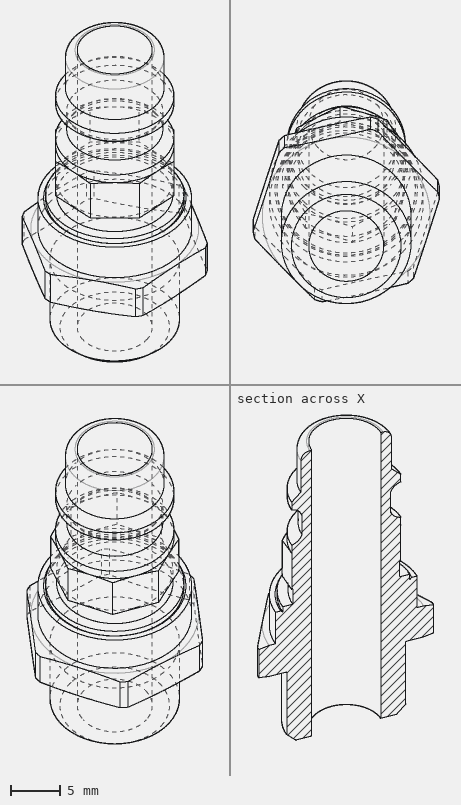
import cadquery as cq
import math

total_height = 36.5
hex_bottom = 8.98
hex_top = 13.0
body_top = 17.0
ring_top = 17.5
octagon_bottom = 19.38
octagon_top = 24.0
lower_collar_top = 25.05
neck_bottom = 26.05
neck_top = 28.47
collar_bottom = 29.5
collar_top = 30.5
nose_bottom = 31.5

bore_diameter = 7.6
neck_diameter = 9.75
nose_diameter = 10.0
stem_diameter = 11.8
collar_diameter = 12.0
thread_diameter = 13.15
ring_diameter = 14.0
body_diameter = 15.6
octagon_flats = 12.0
hex_flats = 17.0
hex_corner_diameter = 19.2

nose_round = 1.0
thread_chamfer = 1.02
flank_arc_radius = 1.5
hex_bevel_angle = 9.5
octagon_bevel_angle = 15.0
groove_outer_diameter = 14.4
groove_depth = 0.2


def cylinder(diameter, bottom, top):
    return cq.Workplane("XY").workplane(offset=bottom).circle(diameter / 2).extrude(top - bottom)


def prism(side_count, flats, bottom, top):
    """Regular prism with two of its flats facing +X and -X."""
    corner_diameter = flats / math.cos(math.pi / side_count)
    return (
        cq.Workplane("XY")
        .workplane(offset=bottom)
        .polygon(side_count, corner_diameter)
        .extrude(top - bottom)
        .rotate((0, 0, 0), (0, 0, 1), 180 / side_count)
    )


def bevel_envelope(flats, outer_diameter, bevel_angle, bottom, top, bevel_bottom):
    """Turned blank whose shallow cones trim the corners of a prism."""
    inner = flats / 2
    outer = outer_diameter / 2
    drop = (outer - inner) * math.tan(math.radians(bevel_angle))
    profile = cq.Workplane("XZ").moveTo(0, bottom)
    if bevel_bottom:
        profile = profile.lineTo(inner, bottom).lineTo(outer, bottom + drop)
    else:
        profile = profile.lineTo(outer, bottom)
    profile = profile.lineTo(outer, top - drop).lineTo(inner, top).lineTo(0, top)
    return profile.close().revolve(360, (0, 0, 0), (0, 1, 0))


def make_thread_end():
    end = cylinder(thread_diameter, 0, hex_bottom)
    return end.faces("<Z").chamfer(thread_chamfer)


def make_hexagon():
    blank = bevel_envelope(hex_flats, hex_corner_diameter, hex_bevel_angle, hex_bottom, hex_top, True)
    return prism(6, hex_flats, hex_bottom, hex_top).intersect(blank)


def make_body():
    """Round body whose top face is countersunk around a raised ring."""
    body = cylinder(body_diameter, hex_top, body_top)
    groove = (
        cq.Workplane("XZ")
        .moveTo(ring_diameter / 2, body_top - groove_depth)
        .lineTo(groove_outer_diameter / 2, body_top)
        .lineTo(ring_diameter / 2, body_top)
        .close()
        .revolve(360, (0, 0, 0), (0, 1, 0))
    )
    ring = cylinder(ring_diameter, body_top, ring_top)
    return body.cut(groove).union(ring)


def make_octagon():
    corner_diameter = octagon_flats / math.cos(math.pi / 8)
    blank = bevel_envelope(
        octagon_flats, corner_diameter, octagon_bevel_angle, octagon_bottom, octagon_top, False
    )
    return prism(8, octagon_flats, octagon_bottom, octagon_top).intersect(blank)


def make_plug():
    """Turned plug end: collars, concave-flanked neck and rounded nose."""
    collar = collar_diameter / 2
    neck = neck_diameter / 2
    nose = nose_diameter / 2
    return (
        cq.Workplane("XZ")
        .moveTo(0, octagon_top)
        .lineTo(collar, octagon_top)
        .lineTo(collar, lower_collar_top)
        .radiusArc((neck, neck_bottom), flank_arc_radius)
        .lineTo(neck, neck_top)
        .radiusArc((collar, collar_bottom), flank_arc_radius)
        .lineTo(collar, collar_top)
        .lineTo(nose, nose_bottom)
        .lineTo(nose, total_height - nose_round)
        .radiusArc((nose - nose_round, total_height), -nose_round)
        .lineTo(0, total_height)
        .close()
        .revolve(360, (0, 0, 0), (0, 1, 0))
    )


stem = cylinder(stem_diameter, ring_top, octagon_bottom)
bore = cylinder(bore_diameter, 0, total_height)

result = (
    make_thread_end()
    .union(make_hexagon())
    .union(make_body())
    .union(stem)
    .union(make_octagon())
    .union(make_plug())
    .cut(bore)
)